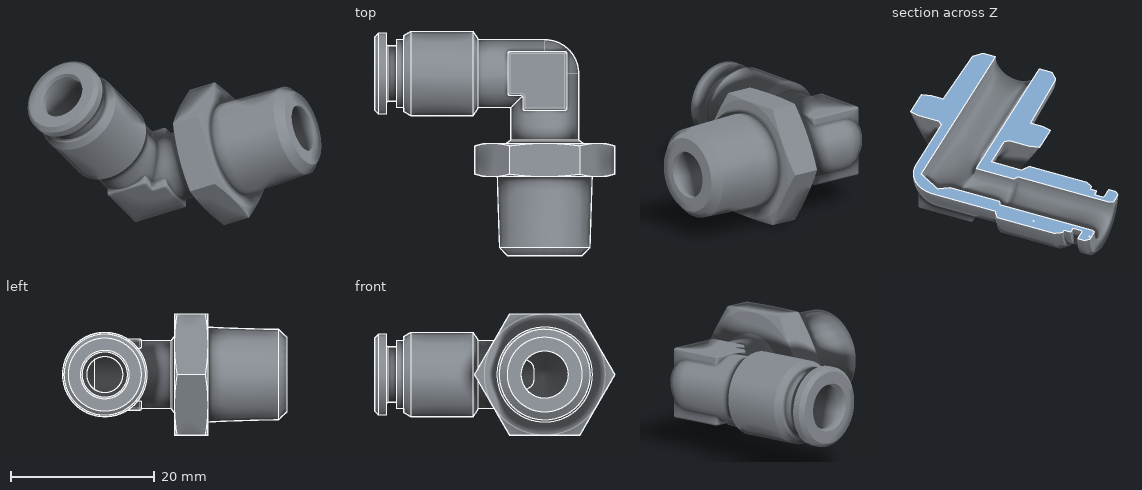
import cadquery as cq
import math


COLLAR_FACE = 23.8
COLLAR_BACK = 22.12
COLLAR_RADIUS = 5.68
COLLAR_CHAMFER = 0.57
NECK_RADIUS = 3.9
NECK_FLARE = 0.17
LIP_FACE = 20.75
BODY_FACE = 19.75
BODY_BACK = 9.35
BODY_RADIUS = 5.92
BODY_FRONT_CHAMFER = (1.0, 0.6)
BODY_BACK_CHAMFER = (0.67, 1.0)

TUBE_RADIUS = 4.77

PAD_OUTER = 3.1
PAD_INNER = 5.15
PAD_NOTCH = 3.05
PAD_HALF_HEIGHT = 5.0
PAD_FILLET = 0.3

HEX_FLATS = 17.0
HEX_TOP = 9.75
HEX_BOTTOM = 14.42
HEX_CHAMFER_ANGLE = 15
HEX_FACE_RADIUS = HEX_FLATS / 2 - 0.05
FLARE_START = 9.28
FLARE_MIDDLE = (9.48, 5.05)
FLARE_RADIUS = 5.38

THREAD_END = 25.5
THREAD_RADIUS = 6.65
THREAD_CHAMFER = (1.18, 1.1)
TAPER = 1 / 32

DRILL_HALF_ANGLE = 59
TUBE_BORE_RADIUS = 3.15
TUBE_BORE_END = 9.4
TUBE_BORE_LEAD_IN = (0.47, 0.25)
PASSAGE_RADIUS = 2.52
THREAD_BORE_RADIUS = 3.3
THREAD_BORE_END = 1.45


def drill_depth(radius):
    """Axial length of a drill point that narrows by the given radius."""
    return radius / math.tan(math.radians(DRILL_HALF_ANGLE))


def turned_on_x(profile):
    """Revolve (distance, radius) points, starting and ending on the axis, along -X."""
    points = [(-distance, radius) for distance, radius in profile]
    return cq.Workplane("XY").polyline(points).close().revolve(360, (0, 0, 0), (1, 0, 0))


def turned_on_y(profile):
    """Revolve (distance, radius) points, starting and ending on the axis, along -Y."""
    points = [(radius, -distance) for distance, radius in profile]
    return cq.Workplane("XY").polyline(points).close().revolve(360, (0, 0, 0), (0, 1, 0))


def push_in_branch():
    front_axial, front_radial = BODY_FRONT_CHAMFER
    back_axial, back_radial = BODY_BACK_CHAMFER
    return turned_on_x([
        (COLLAR_FACE, 0),
        (COLLAR_FACE, COLLAR_RADIUS - COLLAR_CHAMFER),
        (COLLAR_FACE - COLLAR_CHAMFER, COLLAR_RADIUS),
        (COLLAR_BACK, COLLAR_RADIUS),
        (COLLAR_BACK, NECK_RADIUS + NECK_FLARE),
        (COLLAR_BACK - NECK_FLARE, NECK_RADIUS),
        (LIP_FACE, NECK_RADIUS),
        (LIP_FACE, TUBE_RADIUS),
        (BODY_FACE, TUBE_RADIUS),
        (BODY_FACE, BODY_RADIUS - front_radial),
        (BODY_FACE - front_axial, BODY_RADIUS),
        (BODY_BACK + back_axial, BODY_RADIUS),
        (BODY_BACK, BODY_RADIUS - back_radial),
        (BODY_BACK, TUBE_RADIUS),
        (0, TUBE_RADIUS),
        (0, 0),
    ])


def threaded_branch():
    axial, radial = THREAD_CHAMFER
    thread_tip_radius = THREAD_RADIUS - TAPER * (THREAD_END - axial - HEX_BOTTOM)
    return turned_on_y([
        (0, 0),
        (0, TUBE_RADIUS),
        (FLARE_START, TUBE_RADIUS),
        FLARE_MIDDLE,
        (HEX_TOP, FLARE_RADIUS),
        (HEX_BOTTOM, THREAD_RADIUS),
        (THREAD_END - axial, thread_tip_radius),
        (THREAD_END, thread_tip_radius - radial),
        (THREAD_END, 0),
    ])


def hexagon():
    corner_radius = HEX_FLATS / math.sqrt(3)
    chamfer_depth = (corner_radius - HEX_FACE_RADIUS) * math.tan(math.radians(HEX_CHAMFER_ANGLE))
    prism = (
        cq.Workplane("XZ", origin=(0, -HEX_TOP, 0))
        .polygon(6, 2 * corner_radius)
        .extrude(HEX_BOTTOM - HEX_TOP)
    )
    chamfer_envelope = turned_on_y([
        (HEX_TOP, 0),
        (HEX_TOP, HEX_FACE_RADIUS),
        (HEX_TOP + chamfer_depth, corner_radius),
        (HEX_BOTTOM - chamfer_depth, corner_radius),
        (HEX_BOTTOM, HEX_FACE_RADIUS),
        (HEX_BOTTOM, 0),
    ])
    return prism.intersect(chamfer_envelope)


def logo_pads():
    """One L-shaped block through the elbow that stands proud above and below it."""
    return (
        cq.Workplane("XY", origin=(0, 0, -PAD_HALF_HEIGHT))
        .polyline([
            (PAD_OUTER, PAD_OUTER),
            (-PAD_INNER, PAD_OUTER),
            (-PAD_INNER, -PAD_NOTCH),
            (-PAD_NOTCH, -PAD_NOTCH),
            (-PAD_NOTCH, -PAD_INNER),
            (PAD_OUTER, -PAD_INNER),
        ])
        .close()
        .extrude(2 * PAD_HALF_HEIGHT)
        .edges("|Z")
        .fillet(PAD_FILLET)
        .faces("<Z or >Z")
        .edges()
        .fillet(PAD_FILLET)
    )


def push_in_bore():
    axial, radial = TUBE_BORE_LEAD_IN
    step_end = TUBE_BORE_END - drill_depth(TUBE_BORE_RADIUS - PASSAGE_RADIUS)
    return turned_on_x([
        (COLLAR_FACE, 0),
        (COLLAR_FACE, TUBE_BORE_RADIUS + radial),
        (COLLAR_FACE - axial, TUBE_BORE_RADIUS),
        (TUBE_BORE_END, TUBE_BORE_RADIUS),
        (step_end, PASSAGE_RADIUS),
        (0, PASSAGE_RADIUS),
        (0, 0),
    ])


def thread_bore():
    return turned_on_y([
        (THREAD_END, 0),
        (THREAD_END, THREAD_BORE_RADIUS),
        (-THREAD_BORE_END, THREAD_BORE_RADIUS),
        (-THREAD_BORE_END - drill_depth(THREAD_BORE_RADIUS), 0),
    ])


result = (
    push_in_branch()
    .union(threaded_branch())
    .union(cq.Workplane("XY").sphere(TUBE_RADIUS))
    .union(hexagon())
    .union(logo_pads())
    .cut(push_in_bore())
    .cut(thread_bore())
)